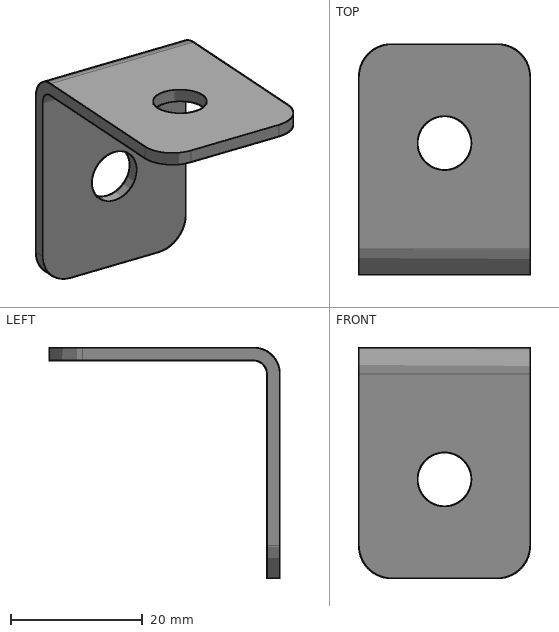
import cadquery as cq

leg_length = 35.0
width = 26.0
thickness = 2.0
inner_bend_radius = 2.0
corner_radius = 5.0
hole_diameter = 8.12
hole_distance = 20.0

outer_bend_radius = inner_bend_radius + thickness


def make_leg():
    """Flat leg along +Y with its top face at Z = 0 and its free end rounded."""
    leg = (
        cq.Workplane("XY")
        .box(width, leg_length, thickness, centered=(True, False, False))
        .translate((0, 0, -thickness))
        .edges("|Z and >Y")
        .fillet(corner_radius)
    )
    hole = (
        cq.Workplane("XY")
        .center(0, hole_distance)
        .circle(hole_diameter / 2)
        .extrude(-thickness)
    )
    return leg.cut(hole)


top_leg = make_leg()
front_leg = make_leg().rotate((0, 0, 0), (1, 0, 0), -90).mirror("XZ")
bracket = top_leg.union(front_leg)

inner_corner = cq.selectors.BoxSelector(
    (-width, thickness / 2, -thickness * 1.5),
    (width, thickness * 1.5, -thickness / 2),
)
bracket = bracket.edges("|X").edges(inner_corner).fillet(inner_bend_radius)
outer_corner = cq.selectors.NearestToPointSelector((0, 0, 0))
result = bracket.edges("|X").edges(outer_corner).fillet(outer_bend_radius)